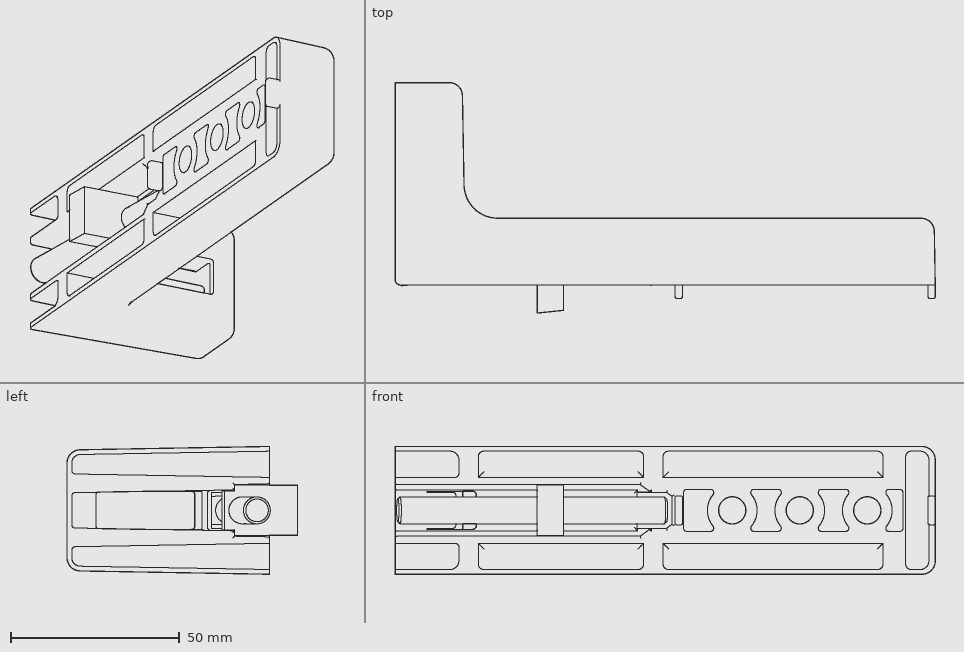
import cadquery as cq
import math

LENGTH = 160.1
WIDTH = 38.0
LEG_TOP = 60.0
BAR_TOP = 19.9
LEG_THICKNESS = 21.0
DRAFT = 1.0
OUTER_RADIUS = 4.0
INSIDE_CORNER_RADIUS = 10.0
HEEL_RADIUS = 1.6
OVERRUN = 8.0

SKIN = 1.5
DEEP_RADIUS = OUTER_RADIUS - SKIN
FLANK_RADIUS = 3.5
SMALL_RADIUS = 1.6
LEG_SMALL_RADIUS = 1.1
POCKET_OUTER = WIDTH / 2 - SKIN
POCKET_INNER = 9.8
LEG_FLOOR = 18.9
LEG_POCKET_DEPTH = LEG_TOP - SKIN
BAR_POCKET_DEPTH = BAR_TOP - SKIN
SIDE_POCKETS = ((24.7, 73.7), (79.4, 144.5))
END_POCKET_START = 151.3
END_POCKET_END = 158.2

CHANNEL_HALF = 6.2
CHANNEL_END = 72.0
CHANNEL_RADIUS = 1.0
RIM_RADIUS = 0.6
SLOT_DEPTH = 10.4
SLOT_HALF = 7.8
SLOT_END = 72.7
NECK_DEPTH = 17.1
NECK_HALF = 5.6
NECK_START = 75.7
NECK_END = 80.5
TIP_HALF = 4.3
TIP_END = 82.3
WINDOW_END = 24.0
WINDOW_TOP = 51.4
WINDOW_RADIUS = 1.0
WINDOW_HALF = 5.6

HOLE_DIAMETER = 8.0
HOLES = [99.9, 120.0, 140.0]
BOSS_RADIUS = 7.4
RECESS_START = 85.5
RECESS_END = 150.5
RECESS_HALF = 6.2
RECESS_DEPTH = 3.2
RECESS_CORNER = 1.0
RECESS_FLOOR_RADIUS = 0.8

TAB_THICKNESS = 2.2
TAB_STARTS = (83.0, LENGTH - TAB_THICKNESS)
TAB_HEIGHT = 4.0
TAB_HALF = 4.3
TAB_RADIUS = 0.8
TAB_EDGE_RADIUS = 0.6

ROD_DIAMETER = 8.0
ROD_END_DIAMETER = 6.7
ROD_START = (0.8, 3.7)
ROD_TILT = 6.0
ROD_LENGTH = 80.0
BLOCK_START = 42.1
BLOCK_THICKNESS = 7.8
BLOCK_BOTTOM = -8.3
BLOCK_TOP = 13.3
BLOCK_HALF = 7.45
TONGUE_HALF = 5.8


def drafted(points, depth):
    """Prism from an X-Z outline on the open face, narrowing as it rises along +Y."""
    return cq.Workplane("XZ").polyline(points).close().extrude(-depth, taper=DRAFT)


def rectangle(x0, x1, z0, z1):
    return [(x0, z0), (x1, z0), (x1, z1), (x0, z1)]


def mirrored(half_outline):
    """Closed outline from its +Z half."""
    return half_outline + [(x, -z) for x, z in reversed(half_outline)]


def both_sides(shape):
    """The shape together with its mirror image across the mid plane."""
    return shape.union(shape.mirror("XY"))


def outer_shell():
    """Solid L with drafted walls and rounded outer edges."""
    bar = drafted(rectangle(-OVERRUN, LENGTH, -WIDTH / 2, WIDTH / 2), BAR_TOP)
    leg = drafted(rectangle(-OVERRUN, LEG_THICKNESS, -WIDTH / 2, WIDTH / 2), LEG_TOP)
    open_end = cq.Workplane("XY").box(2 * OVERRUN, 3 * LEG_TOP, 2 * WIDTH).translate((-OVERRUN, 0, 0))
    shell = bar.union(leg).cut(open_end)
    inside_corner = cq.selectors.BoxSelector(
        (LEG_THICKNESS - 1.6, BAR_TOP - 1.6, -WIDTH), (LEG_THICKNESS + 1.6, BAR_TOP + 1.6, WIDTH)
    )
    shell = shell.edges(inside_corner).edges("|Z").fillet(INSIDE_CORNER_RADIUS)
    shell = shell.faces(">X").edges("not |Z").fillet(OUTER_RADIUS)
    shell = shell.edges("(not <Y) and (not <X)").edges(
        cq.selectors.BoxSelector((0.2, 0.2, -WIDTH), (2 * LENGTH, 2 * LENGTH, WIDTH))
    ).fillet(OUTER_RADIUS)
    return shell.edges("<X and <Y").fillet(HEEL_RADIUS)


def leg_pocket():
    """Pocket beside the channel, open at the leg's end face and at the open face."""
    pocket = drafted(rectangle(-OVERRUN, LEG_FLOOR, POCKET_INNER, POCKET_OUTER), LEG_POCKET_DEPTH)
    pocket = pocket.faces(">X").edges(">Z").fillet(DEEP_RADIUS)
    pocket = pocket.faces(">Y").edges(">Z or >X").fillet(DEEP_RADIUS * 0.99)
    return pocket.faces(">X").edges("<Z").fillet(LEG_SMALL_RADIUS)


def side_pocket(start, end):
    """Pocket along the bar, with a large floor fillet under the outer edge."""
    pocket = drafted(rectangle(start, end, POCKET_INNER, POCKET_OUTER), BAR_POCKET_DEPTH)
    pocket = pocket.faces(">Y").edges(">Z").fillet(FLANK_RADIUS)
    return pocket.faces(">Y").edges("not >Z").fillet(SMALL_RADIUS)


def end_pocket():
    """Pocket across the far end of the bar."""
    pocket = drafted(
        rectangle(END_POCKET_START, END_POCKET_END, -POCKET_OUTER, POCKET_OUTER), BAR_POCKET_DEPTH
    )
    pocket = pocket.faces(">X").edges("not |Z").fillet(DEEP_RADIUS)
    pocket = pocket.faces(">Y").edges(">X").fillet(DEEP_RADIUS * 0.99)
    return pocket.faces(">Y").edges("<X").fillet(SMALL_RADIUS)


def channel():
    """Middle channel along the bar and up the leg, with its wide slot and tapered end."""
    along_bar = drafted(rectangle(-OVERRUN, CHANNEL_END, -CHANNEL_HALF, CHANNEL_HALF), BAR_POCKET_DEPTH)
    up_leg = drafted(rectangle(-OVERRUN, LEG_FLOOR, -CHANNEL_HALF, CHANNEL_HALF), LEG_POCKET_DEPTH)
    up_leg = up_leg.faces(">Y").edges(">X").fillet(DEEP_RADIUS)
    narrow = along_bar.union(up_leg)
    inside_corner = cq.selectors.BoxSelector(
        (LEG_FLOOR - 1.6, BAR_POCKET_DEPTH - 1.6, -1.6), (LEG_FLOOR + 1.6, BAR_POCKET_DEPTH + 1.6, 1.6)
    )
    narrow = narrow.edges(inside_corner).fillet(INSIDE_CORNER_RADIUS + SKIN)

    floor_edge = cq.selectors.BoxSelector(
        (CHANNEL_END / 2, BAR_POCKET_DEPTH - 0.2, -WIDTH), (CHANNEL_END, BAR_TOP, WIDTH)
    )
    narrow = narrow.edges(floor_edge).fillet(CHANNEL_RADIUS)

    slot = drafted(
        mirrored([(-OVERRUN, SLOT_HALF), (SLOT_END, SLOT_HALF), (NECK_START, NECK_HALF)]), SLOT_DEPTH
    )
    neck = drafted(
        mirrored([(SLOT_END - OVERRUN, NECK_HALF), (NECK_END, NECK_HALF), (TIP_END, TIP_HALF)]), NECK_DEPTH
    )
    return narrow.union(slot).union(neck)


def window():
    """Opening through the leg's inner wall and part of the inside corner."""
    length = WINDOW_END - LEG_FLOOR / 2
    height = WINDOW_TOP - SLOT_DEPTH
    opening = cq.Workplane("XY").box(length, height, 2 * WINDOW_HALF, centered=(False, False, True))
    opening = opening.translate((LEG_FLOOR / 2, SLOT_DEPTH, 0))
    opening = opening.faces(">X").edges("|Y").fillet(WINDOW_RADIUS)
    return opening.faces(">Y").edges("|X").fillet(WINDOW_RADIUS)


def holes(radius, depth):
    """Cylinders on the three hole axes, rising from the open face."""
    return (
        cq.Workplane("XZ").pushPoints([(x, 0) for x in HOLES]).circle(radius).extrude(-depth)
    )


def recesses():
    """Shallow recesses between the holes, leaving a round boss about each hole."""
    strip = drafted(rectangle(RECESS_START, RECESS_END, -RECESS_HALF, RECESS_HALF), RECESS_DEPTH)
    upright = cq.selectors.BoxSelector(
        (RECESS_START - 1.6, 0.2, -WIDTH), (RECESS_END + 1.6, RECESS_DEPTH - 0.2, WIDTH)
    )
    shapes = strip.cut(holes(BOSS_RADIUS, RECESS_DEPTH)).edges(upright).fillet(RECESS_CORNER)
    return shapes.faces(">Y").edges().fillet(RECESS_FLOOR_RADIUS)


def tab(start):
    """Thin plate standing on the open face, with rounded outer corners."""
    plate = cq.Workplane("XY").box(TAB_THICKNESS, TAB_HEIGHT, 2 * TAB_HALF, centered=(False, False, True))
    plate = plate.translate((start, -TAB_HEIGHT, 0))
    plate = plate.edges("|X and <Y").fillet(TAB_RADIUS)
    return plate.faces("<Y").edges("|Z").fillet(TAB_EDGE_RADIUS)


def make_rod():
    """Round rod with chamfered ends, leaning into the channel."""
    x, y = ROD_START
    lean = math.radians(ROD_TILT)
    axis = cq.Plane(
        origin=(x, y, 0),
        xDir=(-math.sin(lean), math.cos(lean), 0),
        normal=(math.cos(lean), math.sin(lean), 0),
    )
    rod = cq.Workplane(axis).circle(ROD_DIAMETER / 2).extrude(ROD_LENGTH)
    return rod.edges().chamfer((ROD_DIAMETER - ROD_END_DIAMETER) / 2)


def make_block(rod):
    """Block on the rod: a head in the wide slot, a tongue in the narrow channel."""
    rise = BLOCK_THICKNESS * math.tan(math.radians(ROD_TILT))
    end = BLOCK_START + BLOCK_THICKNESS
    bottom = [(BLOCK_START, BLOCK_BOTTOM), (end, BLOCK_BOTTOM + rise)]
    head_top = [(end, SLOT_DEPTH), (BLOCK_START, SLOT_DEPTH)]
    tongue_top = [(end, BLOCK_TOP + rise), (BLOCK_START, BLOCK_TOP)]
    head = cq.Workplane("XY").polyline(bottom + head_top).close().extrude(BLOCK_HALF, both=True)
    tongue = cq.Workplane("XY").polyline(bottom + tongue_top).close().extrude(TONGUE_HALF, both=True)
    return head.union(tongue).cut(rod)


def round_channel_mouth(body):
    """Round the channel's edges on both open faces and around the heel."""
    mouth = cq.selectors.BoxSelector(
        (-1.6, -1.6, -SLOT_HALF - RIM_RADIUS), (TIP_END + RIM_RADIUS, LEG_TOP - SKIN / 2, SLOT_HALF + RIM_RADIUS)
    )
    return body.faces("<X or <Y").edges(mouth).fillet(RIM_RADIUS)


def make_housing():
    """L-shaped housing with its pockets, channel, holes and two tabs."""
    body = outer_shell()
    body = body.cut(both_sides(leg_pocket()))
    for start, end in SIDE_POCKETS:
        body = body.cut(both_sides(side_pocket(start, end)))
    body = body.cut(end_pocket()).cut(channel()).cut(window())
    body = body.cut(holes(HOLE_DIAMETER / 2, BAR_TOP)).cut(recesses())
    body = round_channel_mouth(body)
    for start in TAB_STARTS:
        body = body.union(tab(start))
    return body


rod = make_rod()
block = make_block(rod)
housing = make_housing()

result = cq.Compound.makeCompound([housing.val(), rod.val(), block.val()])